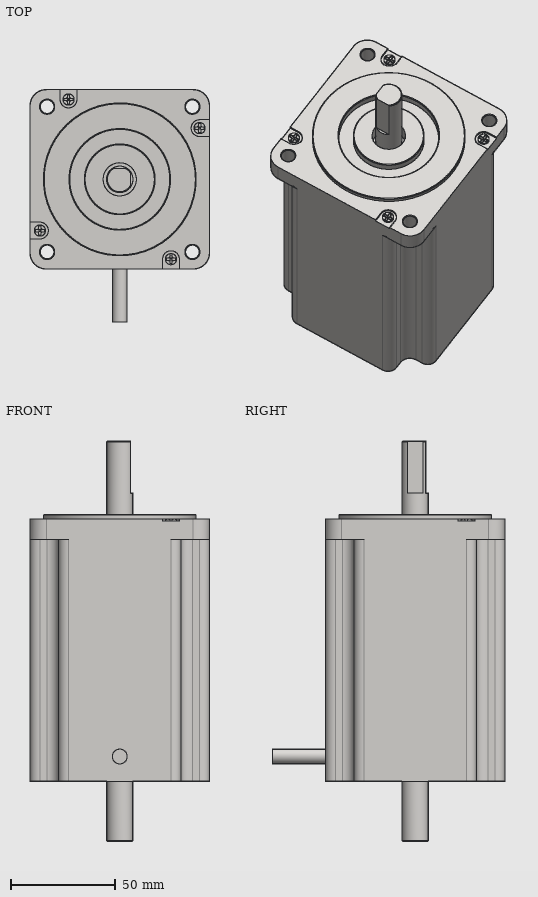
import cadquery as cq

total_height = 191.8
housing_bottom = 28.8
flange_top = 154.5
flange_thickness = 10.0
flange_bottom = flange_top - flange_thickness

flange_width = 86.1
half_width = flange_width / 2
flange_corner_radius = 7.9
bolt_spacing = 69.6
bolt_offset = bolt_spacing / 2
bolt_hole_diameter = 6.5
bolt_hole_chamfer = 0.4
chamfer_cone_angle = 90

relief_wall_offset = 29.3
relief_inner_radius = bolt_offset - relief_wall_offset
relief_lip_radius = 4.8

pilot_diameter = 73.3
pilot_height = 2.1
pilot_chamfer = 0.4
pilot_top = flange_top + pilot_height
recess_outer_diameter = 48.0
recess_inner_diameter = 34.0
recess_depth = 3.8
recess_chamfer = 0.4
shaft_clearance_diameter = 16.0
shaft_clearance_depth = 8.0

shaft_diameter = 12.7
shaft_chamfer = 0.4
flat_offset = 5.2
flat_length = 25.0

cable_diameter = 7.1
overall_depth = 111.5
cable_end = overall_depth - half_width
cable_height = 40.7

screw_side_offset = 24.5
screw_edge_distance = 4.8
screw_y = half_width - screw_edge_distance
pocket_width = 8.0
pocket_depth = 1.0
screw_head_diameter = 5.4
screw_head_height = 0.8
cross_length = 4.2
cross_width = 1.2
cross_depth = 0.5
cross_tip_diameter = 2.3
cross_tip_depth = 1.0

side_count = 4


def cylinder(diameter, bottom, top):
    """Solid cylinder on the Z axis between two heights."""
    return cq.Workplane("XY").workplane(offset=bottom).circle(diameter / 2).extrude(top - bottom)


def quarter_turns(shape):
    """The shape in its four positions around the Z axis."""
    return [shape.rotate((0, 0, 0), (0, 0, 1), 360 / side_count * turn) for turn in range(side_count)]


def make_flange():
    flange = (
        cq.Workplane("XY")
        .workplane(offset=flange_bottom)
        .rect(flange_width, flange_width)
        .extrude(flange_thickness)
        .edges("|Z")
        .fillet(flange_corner_radius)
    )
    return (
        flange.faces(">Z")
        .workplane(origin=(0, 0, 0))
        .rect(bolt_spacing, bolt_spacing, forConstruction=True)
        .vertices()
        .cskHole(bolt_hole_diameter, bolt_hole_diameter + 2 * bolt_hole_chamfer, chamfer_cone_angle)
    )


def make_housing():
    """Two crossed bars with rounded lips; rounding the inner corners completes the reliefs."""
    bar_width = 2 * relief_wall_offset
    bar = (
        cq.Workplane("XY")
        .workplane(offset=housing_bottom)
        .rect(flange_width, bar_width)
        .extrude(flange_bottom - housing_bottom)
        .edges("|Z")
        .fillet(relief_lip_radius)
    )
    crossed_bars = bar.union(bar.rotate((0, 0, 0), (0, 0, 1), 90))
    inner_reach = relief_wall_offset + relief_inner_radius / 2
    inner_corners = cq.selectors.BoxSelector(
        (-inner_reach, -inner_reach, housing_bottom), (inner_reach, inner_reach, flange_bottom)
    )
    return crossed_bars.edges("|Z").edges(inner_corners).fillet(relief_inner_radius)


def make_pilot():
    pilot = cylinder(pilot_diameter, flange_top, pilot_top)
    return pilot.faces(">Z").edges().chamfer(pilot_chamfer)


def make_face_recesses():
    """Annular recess and the clearance ring around the shaft, both from the pilot top."""
    recess_floor = pilot_top - recess_depth
    annulus = cylinder(recess_outer_diameter, recess_floor, pilot_top)
    annulus = annulus.cut(cylinder(recess_inner_diameter, recess_floor, pilot_top))
    rim_bottom = cq.Workplane("XY").workplane(offset=pilot_top - recess_chamfer)
    outer_rim = (
        rim_bottom.circle(recess_outer_diameter / 2)
        .workplane(offset=recess_chamfer)
        .circle(recess_outer_diameter / 2 + recess_chamfer)
        .loft()
    )
    boss_rim = (
        rim_bottom.circle(recess_inner_diameter / 2)
        .workplane(offset=recess_chamfer)
        .circle(recess_inner_diameter / 2 - recess_chamfer)
        .loft()
    )
    annulus = annulus.union(outer_rim.cut(boss_rim))
    return annulus.union(cylinder(shaft_clearance_diameter, pilot_top - shaft_clearance_depth, pilot_top))


def make_shaft():
    shaft = cylinder(shaft_diameter, 0, total_height).faces("<Z or >Z").edges().chamfer(shaft_chamfer)
    flatted_end = (
        cq.Workplane("XY")
        .workplane(offset=total_height - flat_length)
        .center(flat_offset - shaft_diameter / 2, flat_offset - shaft_diameter / 2)
        .rect(shaft_diameter, shaft_diameter)
        .extrude(flat_length)
    )
    plain_end = cylinder(shaft_diameter, 0, total_height - flat_length)
    return shaft.intersect(plain_end.union(flatted_end))


def make_cable():
    return (
        cq.Workplane("XZ")
        .workplane(offset=relief_wall_offset)
        .center(0, cable_height)
        .circle(cable_diameter / 2)
        .extrude(cable_end - relief_wall_offset)
    )


def make_screw_pocket():
    """Pocket with a round inner end, open to the +Y edge of the flange."""
    floor = cq.Workplane("XY").workplane(offset=flange_top - pocket_depth)
    round_end = floor.center(-screw_side_offset, screw_y).circle(pocket_width / 2).extrude(pocket_depth)
    open_end = (
        floor.center(-screw_side_offset, half_width - screw_edge_distance / 2)
        .rect(pocket_width, screw_edge_distance)
        .extrude(pocket_depth)
    )
    return round_end.union(open_end)


def make_screw_head():
    """Round screw head."""
    return (
        cq.Workplane("XY")
        .workplane(offset=flange_top - pocket_depth)
        .center(-screw_side_offset, screw_y)
        .circle(screw_head_diameter / 2)
        .extrude(screw_head_height)
    )


def make_driver_recess():
    """Cross recess in a screw head, with a conical point at its center."""
    head_top = flange_top - pocket_depth + screw_head_height
    cross_floor = (
        cq.Workplane("XY")
        .workplane(offset=head_top - cross_depth)
        .center(-screw_side_offset, screw_y)
    )
    slot = cross_floor.rect(cross_length, cross_width).extrude(cross_depth)
    cross_slot = cross_floor.rect(cross_width, cross_length).extrude(cross_depth)
    tip = cq.Solid.makeCone(
        cross_tip_diameter / 2,
        0,
        cross_tip_depth,
        pnt=cq.Vector(-screw_side_offset, screw_y, head_top),
        dir=cq.Vector(0, 0, -1),
    )
    return slot.union(cross_slot).union(cq.Workplane(tip))


result = make_flange().union(make_housing()).union(make_pilot())
result = result.cut(make_face_recesses())
for pocket in quarter_turns(make_screw_pocket()):
    result = result.cut(pocket)
for screw_head in quarter_turns(make_screw_head()):
    result = result.union(screw_head)
for driver_recess in quarter_turns(make_driver_recess()):
    result = result.cut(driver_recess)
result = result.union(make_shaft()).union(make_cable())